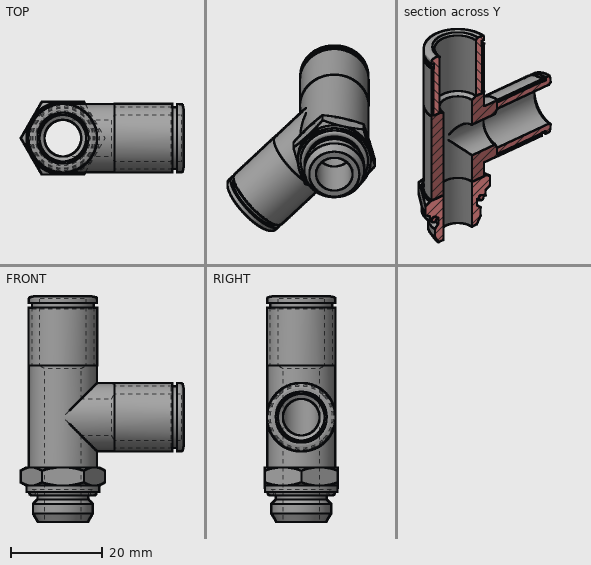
import cadquery as cq
import math

flow_bore = 8.0
body_diameter = 15.0
hex_height_base = 8.0
hex_top = 12.0
branch_axis_height = 23.0
sleeve_base = 11.27
ring_reach = 26.5

tube_bore = 10.2
mouth_diameter = 11.2
mouth_chamfer_depth = 0.5
ring_shank_diameter = 13.6
rim_length = 1.5
rim_diameter = 15.0
rim_flat_diameter = 12.65
rim_slope = 0.25
rim_fillet = 0.5
rim_gap = 1.0

sleeve_diameter = 15.1
sleeve_reach = ring_reach - rim_length - rim_gap
sleeve_mouth_diameter = 14.2
sleeve_lead_in = (sleeve_mouth_diameter - ring_shank_diameter) / 2
tube_stop_angle = 30.0
tube_stop_depth = (tube_bore - flow_bore) / 2 * math.tan(math.radians(tube_stop_angle))

hex_across_flats = 16.0
hex_chamfer_angle = 30.0
collar_diameter = 16.0
collar_base = 6.6
neck_diameter = 11.2
thread_diameter = 13.16
thread_runout_top = 5.0
thread_runout = (thread_diameter - neck_diameter) / 2
thread_lead_in = 1.9
thread_lead_in_angle = 30.0
tip_diameter = thread_diameter - 2 * thread_lead_in * math.tan(math.radians(thread_lead_in_angle))

seal_mean_diameter = 13.4
seal_section_radius = 0.7
seal_base = 5.8


def cylinder(diameter, bottom, top):
    """Upright cylinder on the Z axis between two heights."""
    return cq.Workplane("XY").workplane(offset=bottom).circle(diameter / 2).extrude(top - bottom)


def revolve_profile(points):
    """Turn a closed (radius, height) outline around the Z axis."""
    return cq.Workplane("XZ").polyline(points).close().revolve(360, (0, 0, 0), (0, 1, 0))


def to_branch(shape):
    """Swing a shape built upwards from the origin onto the branch axis."""
    return shape.rotate((0, 0, 0), (0, 1, 0), 90).translate((0, 0, branch_axis_height))


def to_run(shape):
    """Lift a shape built upwards from the origin onto the run of the tee."""
    return shape.translate((0, 0, branch_axis_height))


def make_seal():
    """O-ring partly sunk into the underside of the collar."""
    seal_height = seal_base + seal_section_radius
    return (
        cq.Workplane("XZ")
        .center(seal_mean_diameter / 2, seal_height)
        .circle(seal_section_radius)
        .revolve(360, (-seal_mean_diameter / 2, 0, 0), (-seal_mean_diameter / 2, 1, 0))
    )


def make_hexagon():
    """Hexagon with corners on the X axis, chamfered at both ends."""
    across_corners = hex_across_flats / math.cos(math.pi / 6)
    height = hex_top - hex_height_base
    prism = cq.Workplane("XY").workplane(offset=hex_height_base).polygon(6, across_corners).extrude(height)
    flat_radius = hex_across_flats / 2
    corner_radius = across_corners / 2
    corner_drop = (corner_radius - flat_radius) * math.tan(math.radians(hex_chamfer_angle))
    envelope = revolve_profile([
        (0, hex_height_base),
        (flat_radius, hex_height_base),
        (corner_radius, hex_height_base + corner_drop),
        (corner_radius, hex_top - corner_drop),
        (flat_radius, hex_top),
        (0, hex_top),
    ])
    return prism.intersect(envelope)


def make_stud(seal):
    """Hexagon, collar and thread in one piece, with a seat for the seal."""
    shank = revolve_profile([
        (0, 0),
        (tip_diameter / 2, 0),
        (thread_diameter / 2, thread_lead_in),
        (thread_diameter / 2, thread_runout_top - thread_runout),
        (neck_diameter / 2, thread_runout_top),
        (neck_diameter / 2, collar_base),
        (collar_diameter / 2, collar_base),
        (collar_diameter / 2, hex_height_base),
        (0, hex_height_base),
    ])
    return make_hexagon().union(shank).cut(cylinder(flow_bore, 0, hex_top)).cut(seal)


def make_tee():
    """Two crossing arms ending in sleeves, with a common passage and ring sockets."""
    arm = cylinder(body_diameter, 0, sleeve_base).union(cylinder(sleeve_diameter, sleeve_base, sleeve_reach))
    arm_passage = revolve_profile([
        (0, 0),
        (flow_bore / 2, 0),
        (flow_bore / 2, sleeve_base - tube_stop_depth),
        (tube_bore / 2, sleeve_base),
        (ring_shank_diameter / 2, sleeve_base),
        (ring_shank_diameter / 2, sleeve_reach - sleeve_lead_in),
        (sleeve_mouth_diameter / 2, sleeve_reach),
        (0, sleeve_reach),
    ])
    foot = cylinder(body_diameter, hex_top, branch_axis_height)
    foot_passage = cylinder(flow_bore, hex_top, branch_axis_height)
    outside = foot.union(to_run(arm)).union(to_branch(arm))
    return outside.cut(foot_passage).cut(to_run(arm_passage)).cut(to_branch(arm_passage))


def make_release_ring():
    """Tubular shank with a wider rounded rim, standing at its seat height above the origin."""
    rim_base = ring_reach - rim_length
    rim_edge = ring_reach - rim_slope
    outside = revolve_profile([
        (0, sleeve_base),
        (ring_shank_diameter / 2, sleeve_base),
        (ring_shank_diameter / 2, rim_base),
        (rim_diameter / 2, rim_base),
        (rim_diameter / 2, rim_edge),
        (rim_flat_diameter / 2, ring_reach),
        (0, ring_reach),
    ])
    rim_corner = cq.selectors.BoxSelector(
        (-rim_diameter, -rim_diameter, rim_edge - rim_slope / 2),
        (rim_diameter, rim_diameter, rim_edge + rim_slope / 2),
    )
    outside = outside.edges("%CIRCLE").edges(rim_corner).fillet(rim_fillet)
    bore = revolve_profile([
        (0, sleeve_base),
        (tube_bore / 2, sleeve_base),
        (tube_bore / 2, ring_reach - mouth_chamfer_depth),
        (mouth_diameter / 2, ring_reach),
        (0, ring_reach),
    ])
    return outside.cut(bore)


seal = make_seal()
stud = make_stud(seal)
tee = make_tee()
release_rings = [place(make_release_ring()) for place in (to_run, to_branch)]

result = cq.Compound.makeCompound([
    stud.val(),
    seal.val(),
    tee.val(),
    *[ring.val() for ring in release_rings],
])